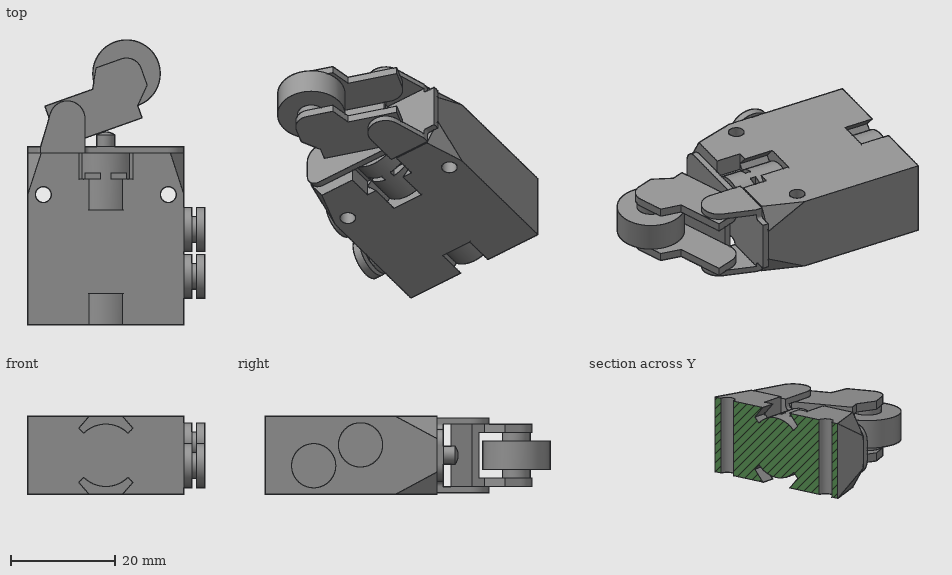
import cadquery as cq
import math

HOUSING_WIDTH = 30.0
HOUSING_LENGTH = 33.0
HOUSING_HEIGHT = 15.0
HALF_WIDTH = HOUSING_WIDTH / 2
HALF_HEIGHT = HOUSING_HEIGHT / 2

BEVEL_X = 2.6
BEVEL_Y = 8.0
BEVEL_Z = 4.3

MOUNT_HOLE_DIAMETER = 3.0
MOUNT_HOLE_X = 12.0
MOUNT_HOLE_Y = HOUSING_LENGTH - BEVEL_Y

CORE_RADIUS = 6.0
GROOVE_TIP_HALF_WIDTH = 5.2
GROOVE_MOUTH_HALF_WIDTH = 3.2
GROOVE_LENGTH = 6.0

POCKET_LENGTH = 5.0
POCKET_START_Y = HOUSING_LENGTH - POCKET_LENGTH
POCKET_FLOOR_Z = 3.9
NOTCH_WIDTH = 3.0
NOTCH_LENGTH = 1.15
NOTCH_CENTER_X = 2.5

FITTING_DIAMETER = 8.5
FITTING_NECK_DIAMETER = 5.0
FITTING_FLANGE_LENGTH = 1.5
FITTING_NECK_LENGTH = 0.9
FITTING_LENGTH = 4.0
FITTING_CENTERS_YZ = [(9.3, -2.0), (18.3, 2.0)]

SHEET_THICKNESS = 1.2
BRACKET_REAR_Y = HOUSING_LENGTH + SHEET_THICKNESS
BRACKET_HALF_HEIGHT = 5.0
BRACKET_CORNER_RADIUS = 3.0
EAR_OUTER_Z = 7.2
EAR_INNER_Z = EAR_OUTER_Z - SHEET_THICKNESS
EAR_RADIUS = 3.4
EAR_FLANK_ANGLE = math.radians(16.5)
EAR_INSIDE_RADIUS = 1.0
EAR_OUTSIDE_RADIUS = 0.5

PIVOT_X = -7.4
PIVOT_Y = 39.6
LEVER_ANGLE = 19.5

PLUNGER_RADIUS = 1.75
PLUNGER_DOME_HEIGHT = 0.6
PLUNGER_TOP_Y = 37.05

LEVER_PLATE_THICKNESS = 1.65
LEVER_PLATE_OUTER_Z = EAR_INNER_Z
LEVER_PLATE_INNER_Z = LEVER_PLATE_OUTER_Z - LEVER_PLATE_THICKNESS
LEVER_END_RADIUS = 3.28
LEVER_BACK_HEIGHT = 3.7
LEVER_STEP_BASE = 6.45
LEVER_STEP_TOP = 8.45
LEVER_TIP_HEIGHT = 0.95
LEVER_NOTCH_HEIGHT = -2.15
LEVER_NOSE_RADIUS = 3.0
WEB_START = 1.3
WEB_THICKNESS = 1.4

ROLLER_ALONG = 13.6
ROLLER_ABOVE = 4.34
ROLLER_DIAMETER = 13.0
ROLLER_WIDTH = 5.5
AXLE_DIAMETER = 5.4


def corner_bevel(side_x, side_z):
    """Cutting block whose inner face slants across one rear corner; sides are +1 or -1."""
    corner = cq.Vector(side_x * HALF_WIDTH, HOUSING_LENGTH, side_z * HALF_HEIGHT)
    outward = cq.Vector(side_x / BEVEL_X, 1 / BEVEL_Y, side_z / BEVEL_Z)
    along_bevel = cq.Vector(side_x * BEVEL_X, -BEVEL_Y, 0)
    slanted_face = cq.Plane(
        origin=corner - cq.Vector(0, BEVEL_Y, 0),
        xDir=along_bevel,
        normal=outward,
    )
    return cq.Workplane(slanted_face).rect(HOUSING_LENGTH, HOUSING_LENGTH).extrude(HOUSING_HEIGHT)


def groove(start_y):
    """Undercut groove in the top face, wrapped around the round core."""
    core_half_chord = CORE_RADIUS * math.cos(math.pi / 4)
    return (
        cq.Workplane("XZ", origin=(0, start_y, 0))
        .moveTo(-core_half_chord, core_half_chord)
        .threePointArc((0, CORE_RADIUS), (core_half_chord, core_half_chord))
        .lineTo(GROOVE_TIP_HALF_WIDTH, GROOVE_TIP_HALF_WIDTH)
        .lineTo(GROOVE_MOUTH_HALF_WIDTH, HALF_HEIGHT)
        .lineTo(-GROOVE_MOUTH_HALF_WIDTH, HALF_HEIGHT)
        .lineTo(-GROOVE_TIP_HALF_WIDTH, GROOVE_TIP_HALF_WIDTH)
        .close()
        .extrude(-GROOVE_LENGTH)
    )


def clip_pocket():
    """Pocket at the rear end of the top face, down to a flat floor beside the round core."""
    depth = HALF_HEIGHT - POCKET_FLOOR_Z
    floor_edge = cq.Workplane("XY", origin=(0, POCKET_START_Y, POCKET_FLOOR_Z))
    from_edge = (True, False, False)
    pocket = floor_edge.box(2 * GROOVE_TIP_HALF_WIDTH, POCKET_LENGTH, depth, centered=from_edge)
    core = cq.Workplane("XZ").circle(CORE_RADIUS).extrude(-HOUSING_LENGTH)
    notches = floor_edge.pushPoints([(-NOTCH_CENTER_X, 0), (NOTCH_CENTER_X, 0)]).box(
        NOTCH_WIDTH, NOTCH_LENGTH, depth, centered=from_edge
    )
    return pocket.cut(core).union(notches)


def fitting(center_y, center_z):
    """Push-in fitting: flange, neck and release ring."""
    face = cq.Workplane("YZ", origin=(HALF_WIDTH, center_y, center_z))
    ring_start = FITTING_FLANGE_LENGTH + FITTING_NECK_LENGTH
    flange = face.circle(FITTING_DIAMETER / 2).extrude(FITTING_FLANGE_LENGTH)
    neck = face.circle(FITTING_NECK_DIAMETER / 2).extrude(FITTING_LENGTH)
    ring = (
        face.workplane(offset=ring_start)
        .circle(FITTING_DIAMETER / 2)
        .extrude(FITTING_LENGTH - ring_start)
    )
    return flange.union(neck).union(ring)


def bracket():
    """Rear sheet, widened where its two ears stand up on either side of the lever."""
    ear_right_x = PIVOT_X + EAR_RADIUS
    tangent_x = PIVOT_X - EAR_RADIUS * math.cos(EAR_FLANK_ANGLE)
    tangent_y = PIVOT_Y + EAR_RADIUS * math.sin(EAR_FLANK_ANGLE)
    ear_left_x = tangent_x - (tangent_y - BRACKET_REAR_Y) * math.tan(EAR_FLANK_ANGLE)

    sheet = (
        cq.Workplane("XY")
        .box(HOUSING_WIDTH, SHEET_THICKNESS, 2 * BRACKET_HALF_HEIGHT)
        .translate((0, HOUSING_LENGTH + SHEET_THICKNESS / 2, 0))
        .edges("|Y and >X")
        .fillet(BRACKET_CORNER_RADIUS)
    )
    ear_base = (
        cq.Workplane("XY")
        .box(ear_right_x - ear_left_x, SHEET_THICKNESS, 2 * EAR_OUTER_Z)
        .translate(((ear_left_x + ear_right_x) / 2, HOUSING_LENGTH + SHEET_THICKNESS / 2, 0))
    )
    body = sheet.union(ear_base)
    for ear_x, radius in [(ear_left_x, EAR_OUTSIDE_RADIUS), (ear_right_x, EAR_INSIDE_RADIUS)]:
        root_edges = cq.selectors.BoxSelector(
            (ear_x - radius / 2, HOUSING_LENGTH - SHEET_THICKNESS, -BRACKET_HALF_HEIGHT - radius / 2),
            (ear_x + radius / 2, BRACKET_REAR_Y + SHEET_THICKNESS, BRACKET_HALF_HEIGHT + radius / 2),
        )
        body = body.edges("|Y").edges(root_edges).fillet(radius)

    ear = (
        cq.Workplane("XY", origin=(0, 0, EAR_INNER_Z))
        .moveTo(ear_left_x, HOUSING_LENGTH)
        .lineTo(ear_right_x, HOUSING_LENGTH)
        .lineTo(ear_right_x, PIVOT_Y)
        .threePointArc((PIVOT_X, PIVOT_Y + EAR_RADIUS), (tangent_x, tangent_y))
        .lineTo(ear_left_x, BRACKET_REAR_Y)
        .close()
        .extrude(SHEET_THICKNESS)
    )
    return body.union(ear).union(ear.mirror("XY"))


def plunger():
    """Round push rod with a domed end, standing on the rear face."""
    shoulder_y = PLUNGER_TOP_Y - PLUNGER_DOME_HEIGHT
    dome_radius = (PLUNGER_RADIUS**2 + PLUNGER_DOME_HEIGHT**2) / (2 * PLUNGER_DOME_HEIGHT)
    mid_x = PLUNGER_RADIUS / 2
    mid_y = PLUNGER_TOP_Y - dome_radius + math.sqrt(dome_radius**2 - mid_x**2)
    return (
        cq.Workplane("XY")
        .moveTo(0, HOUSING_LENGTH)
        .lineTo(PLUNGER_RADIUS, HOUSING_LENGTH)
        .lineTo(PLUNGER_RADIUS, shoulder_y)
        .threePointArc((mid_x, mid_y), (0, PLUNGER_TOP_Y))
        .close()
        .revolve(360, (0, 0, 0), (0, 1, 0))
    )


def make_housing():
    """Valve block with its grooves, mounting holes and fittings."""
    housing = (
        cq.Workplane("XY")
        .box(HOUSING_WIDTH, HOUSING_LENGTH, HOUSING_HEIGHT)
        .translate((0, HOUSING_LENGTH / 2, 0))
    )
    for side_x in (-1, 1):
        for side_z in (-1, 1):
            housing = housing.cut(corner_bevel(side_x, side_z))

    top_recesses = [
        groove(0),
        groove(POCKET_START_Y - GROOVE_LENGTH),
        clip_pocket(),
    ]
    for recess in top_recesses:
        housing = housing.cut(recess).cut(recess.mirror("XY"))

    mount_holes = (
        cq.Workplane("XY", origin=(0, MOUNT_HOLE_Y, -HALF_HEIGHT))
        .pushPoints([(-MOUNT_HOLE_X, 0), (MOUNT_HOLE_X, 0)])
        .circle(MOUNT_HOLE_DIAMETER / 2)
        .extrude(HOUSING_HEIGHT)
    )
    housing = housing.cut(mount_holes)

    for center_y, center_z in FITTING_CENTERS_YZ:
        housing = housing.union(fitting(center_y, center_z))
    return housing.solids()


def lever_side_plate():
    """One side plate of the lever, on the +Z side, with the pivot at the origin."""
    diagonal = math.cos(math.pi / 4)
    nose_mid = LEVER_NOSE_RADIUS * diagonal
    end_mid = LEVER_END_RADIUS * diagonal
    nose_front = ROLLER_ALONG + LEVER_NOSE_RADIUS
    nose_top = ROLLER_ABOVE + LEVER_NOSE_RADIUS
    return (
        cq.Workplane("XY", origin=(0, 0, LEVER_PLATE_INNER_Z))
        .moveTo(-LEVER_END_RADIUS, LEVER_BACK_HEIGHT)
        .lineTo(LEVER_STEP_BASE, LEVER_BACK_HEIGHT)
        .lineTo(LEVER_STEP_TOP, nose_top)
        .lineTo(ROLLER_ALONG, nose_top)
        .threePointArc((ROLLER_ALONG + nose_mid, ROLLER_ABOVE + nose_mid), (nose_front, ROLLER_ABOVE))
        .lineTo(nose_front, LEVER_TIP_HEIGHT)
        .lineTo(ROLLER_ALONG, LEVER_NOTCH_HEIGHT)
        .lineTo(ROLLER_ALONG, -LEVER_END_RADIUS)
        .lineTo(0, -LEVER_END_RADIUS)
        .threePointArc((-end_mid, -end_mid), (-LEVER_END_RADIUS, 0))
        .close()
        .extrude(LEVER_PLATE_THICKNESS)
    )


def lever_disc(diameter, width):
    """Disc on the roller axis, centred on Z."""
    return (
        cq.Workplane("XY", origin=(ROLLER_ALONG, ROLLER_ABOVE, -width / 2))
        .circle(diameter / 2)
        .extrude(width)
    )


def roller_lever():
    """Roller lever: two side plates joined by a web underneath, with axle and roller."""
    plate = lever_side_plate()
    web_length = ROLLER_ALONG - WEB_START
    web = (
        cq.Workplane("XY")
        .box(web_length, WEB_THICKNESS, 2 * LEVER_PLATE_OUTER_Z)
        .translate((WEB_START + web_length / 2, -LEVER_END_RADIUS - WEB_THICKNESS / 2, 0))
    )
    axle = lever_disc(AXLE_DIAMETER, 2 * LEVER_PLATE_INNER_Z)
    roller = lever_disc(ROLLER_DIAMETER, ROLLER_WIDTH)
    level_lever = plate.union(plate.mirror("XY")).union(web).union(axle).union(roller)
    turned_lever = level_lever.rotate((0, 0, 0), (0, 0, 1), LEVER_ANGLE)
    return turned_lever.translate((PIVOT_X, PIVOT_Y, 0))


def make_actuator():
    """Lever unit on the rear face: bracket, plunger and the roller lever held between the ears."""
    return bracket().union(plunger()).union(roller_lever()).solids()


housing = make_housing()
actuator = make_actuator()

result = cq.Compound.makeCompound([housing.val(), actuator.val()])